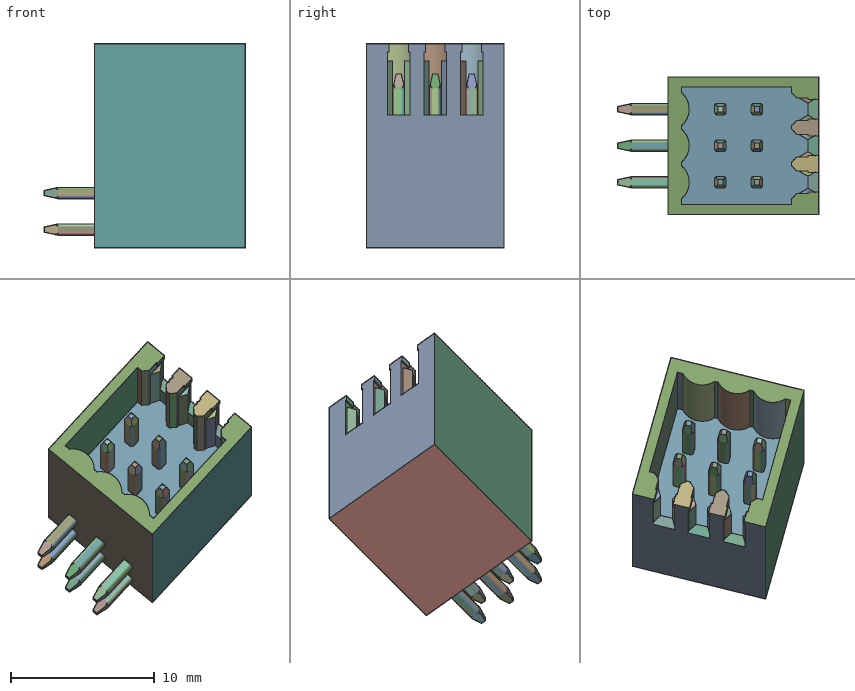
import cadquery as cq


BODY_X = 10.5
BODY_Y = 9.58
BODY_Z = 14.2

PITCH = 2.54
ROWS = 3
ROW_YS = [(row - (ROWS - 1) / 2) * PITCH for row in range(ROWS)]

SIDE_WALL = 0.72
BACK_WALL = 0.95
FLOOR_Z = 7.05
CAVITY_X = 7.65
CAVITY_Y = BODY_Y - 2 * SIDE_WALL
CAVITY_DEPTH = BODY_Z - FLOOR_Z
FRONT_WALL_X = BACK_WALL + CAVITY_X

SCALLOP_RADIUS = 1.5
SCALLOP_RISE = 0.53

SLOT_WIDTH = 1.55
SLOT_MOUTH_WIDTH = 2.29
SLOT_MOUTH_DEPTH = 0.37
LEDGE_X = 9.73
LEDGE_Z = 9.25

LIP_GAP = 1.37
LIP_HEIGHT = 0.6

RIB_RISE = 0.355
RIB_HALF_BASE = 0.6
RIB_TOP_Z = 13.0

PIN_SIZE = 0.8
PIN_CORNER_RADIUS = 0.2
PIN_TIP_SIZE = 0.36
PIN_TIP_LENGTH = 1.0
MATING_PIN_TOP_Z = 12.1
FIRST_MATING_PIN_X = 3.65
MATING_PIN_XS = [FIRST_MATING_PIN_X, FIRST_MATING_PIN_X + PITCH]
SOLDER_PIN_LENGTH = 3.5
SOLDER_PIN_ZS = [PITCH / 2, PITCH * 3 / 2]
PIN_EMBED = 0.5


def box(x_range, y_range, z_range):
    """Axis-aligned box from its (low, high) limits along each axis."""
    sizes = [high - low for low, high in (x_range, y_range, z_range)]
    corner = (x_range[0], y_range[0], z_range[0])
    return cq.Workplane("XY").box(*sizes, centered=False).translate(corner)


def make_cavity():
    """Rectangular pocket with the back-wall scallops left standing."""
    half_y = CAVITY_Y / 2
    cavity = box((BACK_WALL, FRONT_WALL_X), (-half_y, half_y), (FLOOR_Z, BODY_Z))
    scallop_x = BACK_WALL + SCALLOP_RISE - SCALLOP_RADIUS
    for y in ROW_YS:
        scallop = (
            cq.Workplane("XY", origin=(scallop_x, y, FLOOR_Z))
            .circle(SCALLOP_RADIUS)
            .extrude(CAVITY_DEPTH)
        )
        cavity = cavity.cut(scallop)
    return cavity


def make_slot(y):
    """Chamfer-mouthed slot: down to the cavity floor inside, down to the ledge outside."""
    half_mouth = SLOT_MOUTH_WIDTH / 2
    half_slot = SLOT_WIDTH / 2
    throat_x = FRONT_WALL_X + SLOT_MOUTH_DEPTH
    inner = (
        cq.Workplane("XY", origin=(0, y, FLOOR_Z))
        .moveTo(FRONT_WALL_X, -half_mouth)
        .lineTo(throat_x, -half_slot)
        .lineTo(LEDGE_X, -half_slot)
        .lineTo(LEDGE_X, half_slot)
        .lineTo(throat_x, half_slot)
        .lineTo(FRONT_WALL_X, half_mouth)
        .close()
        .extrude(CAVITY_DEPTH)
    )
    lip_bottom_z = BODY_Z - LIP_HEIGHT
    outer_x = (LEDGE_X, BODY_X)
    outer = box(outer_x, (y - half_slot, y + half_slot), (LEDGE_Z, lip_bottom_z))
    lip_opening = box(outer_x, (y - LIP_GAP / 2, y + LIP_GAP / 2), (lip_bottom_z, BODY_Z))
    return inner.union(outer).union(lip_opening)


def make_rib(y, side):
    """Triangular rib on one side wall (side = -1 or +1) of the slot at row y."""
    wall_y = y + side * SLOT_WIDTH / 2
    return (
        cq.Workplane("XY", origin=(LEDGE_X, wall_y, FLOOR_Z))
        .moveTo(-RIB_HALF_BASE, 0)
        .lineTo(0, -side * RIB_RISE)
        .lineTo(RIB_HALF_BASE, 0)
        .close()
        .extrude(RIB_TOP_Z - FLOOR_Z)
    )


def make_pin(length):
    """Upright pin with its tip on top, the base sunk by PIN_EMBED below Z = 0."""
    shank_length = length - PIN_TIP_LENGTH
    bar = (
        cq.Workplane("XY", origin=(0, 0, -PIN_EMBED))
        .rect(PIN_SIZE, PIN_SIZE)
        .extrude(PIN_EMBED + length)
        .edges("|Z")
        .fillet(PIN_CORNER_RADIUS)
    )
    taper = (
        cq.Workplane("XY", origin=(0, 0, shank_length))
        .rect(PIN_SIZE, PIN_SIZE)
        .workplane(offset=PIN_TIP_LENGTH)
        .rect(PIN_TIP_SIZE, PIN_TIP_SIZE)
        .loft()
    )
    shank_zone = (
        cq.Workplane("XY", origin=(0, 0, -PIN_EMBED))
        .rect(PIN_SIZE, PIN_SIZE)
        .extrude(PIN_EMBED + shank_length)
    )
    return bar.intersect(shank_zone.union(taper))


housing = box((0, BODY_X), (-BODY_Y / 2, BODY_Y / 2), (0, BODY_Z)).cut(make_cavity())
for row_y in ROW_YS:
    housing = housing.cut(make_slot(row_y))
for row_y in ROW_YS:
    for slot_side in (-1, 1):
        housing = housing.union(make_rib(row_y, slot_side))

mating_pin = make_pin(MATING_PIN_TOP_Z - FLOOR_Z)
solder_pin = make_pin(SOLDER_PIN_LENGTH).rotate((0, 0, 0), (0, 1, 0), -90)
for row_y in ROW_YS:
    for pin_x in MATING_PIN_XS:
        housing = housing.union(mating_pin.translate((pin_x, row_y, FLOOR_Z)))
    for pin_z in SOLDER_PIN_ZS:
        housing = housing.union(solder_pin.translate((0, row_y, pin_z)))

result = housing